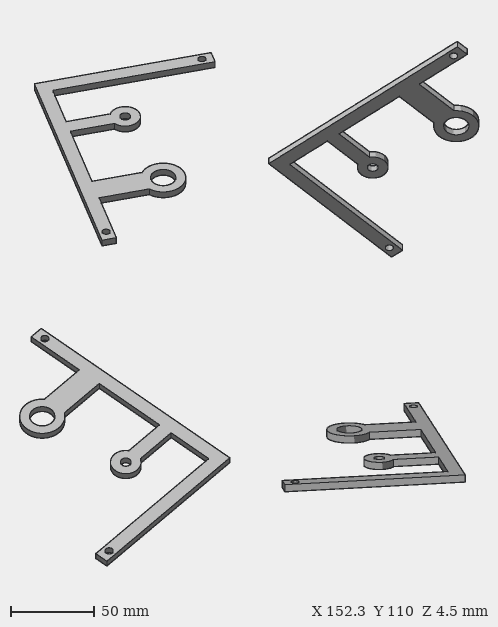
import cadquery as cq

length = 152.3
height = 110.0
thickness = 4.5
bar_width = 9.0

mount_hole_diameter = 4.9
mount_hole_end_distance = 7.0

small_arm = dict(x=44.0, y=44.3, ring_diameter=18.5, hole_diameter=6.4, stem_width=9.5)
large_arm = dict(x=105.4, y=51.0, ring_diameter=27.1, hole_diameter=15.0, stem_width=16.1)


def block(size_x, size_y):
    """Plate with its lower left corner at the origin."""
    return cq.Workplane("XY").box(size_x, size_y, thickness, centered=False)


def disc(x, y, diameter):
    """Disc of plate thickness, used for rings and holes."""
    return cq.Workplane("XY").center(x, y).circle(diameter / 2).extrude(thickness)


def add_arm(body, x, y, ring_diameter, hole_diameter, stem_width):
    """Join a stem with a round eye at its end, then bore the eye."""
    stem = block(stem_width, y).translate((x - stem_width / 2, 0, 0))
    body = body.union(stem).union(disc(x, y, ring_diameter))
    return body.cut(disc(x, y, hole_diameter))


bracket = block(length, bar_width).union(block(bar_width, height))

for arm in (small_arm, large_arm):
    bracket = add_arm(bracket, **arm)

mount_hole_centers = [
    (bar_width / 2, height - mount_hole_end_distance),
    (length - mount_hole_end_distance, bar_width / 2),
]
for hole_x, hole_y in mount_hole_centers:
    bracket = bracket.cut(disc(hole_x, hole_y, mount_hole_diameter))

result = bracket